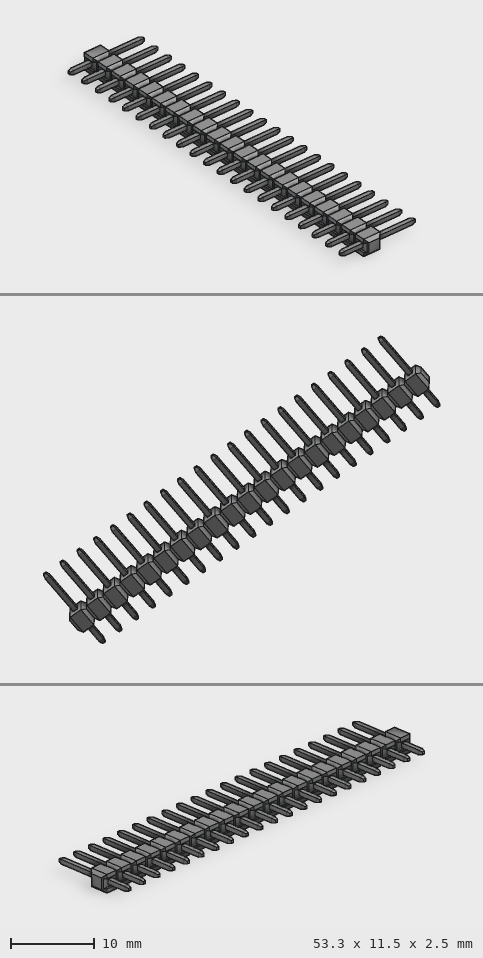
import cadquery as cq

pin_count = 21
pitch = 2.54

body_depth = 2.54
body_height = 2.5
end_chamfer = 0.46
channel_height = 1.35
channel_depth = 0.3

pin_width = 0.64
pin_long_side = 6.0
pin_short_side = 3.0
pin_tip_length = 0.5
pin_tip_width = 0.38

row_length = pin_count * pitch
front_face = -body_depth / 2
back_face = body_depth / 2


def make_bevel(side):
    """Bevelled end of a block, narrowing towards the X side given by side (+1 or -1)."""
    full_section_x = side * (pitch / 2 - end_chamfer)
    return (
        cq.Workplane("YZ", origin=(full_section_x, 0, 0))
        .rect(body_depth, body_height)
        .workplane(offset=side * end_chamfer)
        .rect(body_depth - 2 * end_chamfer, body_height - 2 * end_chamfer)
        .loft(ruled=True)
    )


def make_block():
    core = cq.Workplane("XY").box(pitch - 2 * end_chamfer, body_depth, body_height)
    return core.union(make_bevel(1)).union(make_bevel(-1))


def make_tip(base_y, direction):
    """Tapered pin end that starts at base_y and points along direction (+1 or -1) in Y."""
    plane = cq.Plane(origin=(0, base_y, 0), xDir=(1, 0, 0), normal=(0, direction, 0))
    return (
        cq.Workplane(plane)
        .rect(pin_width, pin_width)
        .workplane(offset=pin_tip_length)
        .rect(pin_tip_width, pin_tip_width)
        .loft(ruled=True)
    )


def make_pin():
    shank_start = front_face - pin_short_side + pin_tip_length
    shank_end = back_face + pin_long_side - pin_tip_length
    shank = (
        cq.Workplane("XY")
        .box(pin_width, shank_end - shank_start, pin_width)
        .translate((0, (shank_start + shank_end) / 2, 0))
    )
    return shank.union(make_tip(shank_start, -1)).union(make_tip(shank_end, 1))


def make_channel():
    return (
        cq.Workplane("XY")
        .box(pitch, channel_depth, channel_height)
        .translate((0, front_face + channel_depth / 2, 0))
    )


position = make_block().cut(make_channel()).union(make_pin())

first_pin_x = -(row_length - pitch) / 2
result = position.translate((first_pin_x, 0, 0))
for index in range(1, pin_count):
    result = result.union(position.translate((first_pin_x + index * pitch, 0, 0)))